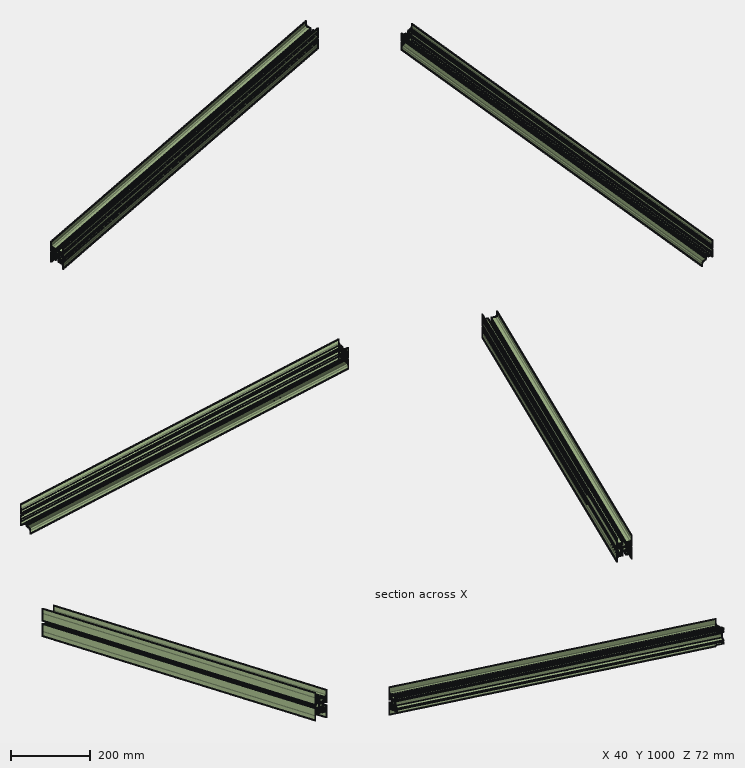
import cadquery as cq

length = 1000.0
width = 40.0
height = 72.0

half_body = width / 2
flange_thickness = 1.2
flange_root_fillet = 3.5

slot_mouth = 8.0
lip_thickness = 4.0
cavity_width = 22.0
cavity_wall_height = 1.0
cavity_floor_width = 11.0
core_size = 16.0

bore_diameter = 10.0
corner_hole_diameter = 6.0
corner_hole_offset = 15.0


def extrude_along_y(profile):
    """Extrude a profile through the full length, centred on Y = 0."""
    return profile.extrude(length / 2, both=True)


def bar(size_x, size_z, center_x=0.0):
    """Full-length rectangular bar centred on Z = 0."""
    return extrude_along_y(cq.Workplane("XZ").center(center_x, 0).rect(size_x, size_z))


def top_slot_cutter():
    """Narrow mouth opening into a wide cavity that tapers down to the core."""
    mouth = slot_mouth / 2
    cavity = cavity_width / 2
    floor = cavity_floor_width / 2
    lip_z = half_body - lip_thickness
    wall_z = lip_z - cavity_wall_height
    floor_z = core_size / 2
    right_side = [
        (floor, floor_z),
        (cavity, wall_z),
        (cavity, lip_z),
        (mouth, lip_z),
        (mouth, half_body),
    ]
    left_side = [(-x, z) for x, z in reversed(right_side)]
    return extrude_along_y(cq.Workplane("XZ").polyline(right_side + left_side).close())


result = bar(width, width)
flange_x = half_body - flange_thickness / 2
for side in (-1, 1):
    result = result.union(bar(flange_thickness, height, side * flange_x))

root_x = half_body - flange_thickness
for side in (-1, 1):
    for end in (-1, 1):
        root = cq.NearestToPointSelector((side * root_x, 0, end * half_body))
        result = result.edges("|Y").edges(root).fillet(flange_root_fillet)

slot = top_slot_cutter()
for quarter_turn in range(4):
    result = result.cut(slot.rotate((0, 0, 0), (0, 1, 0), 90 * quarter_turn))

result = result.cut(extrude_along_y(cq.Workplane("XZ").circle(bore_diameter / 2)))

corner_spacing = 2 * corner_hole_offset
corner_holes = (
    cq.Workplane("XZ")
    .rect(corner_spacing, corner_spacing, forConstruction=True)
    .vertices()
    .circle(corner_hole_diameter / 2)
)
result = result.cut(extrude_along_y(corner_holes))